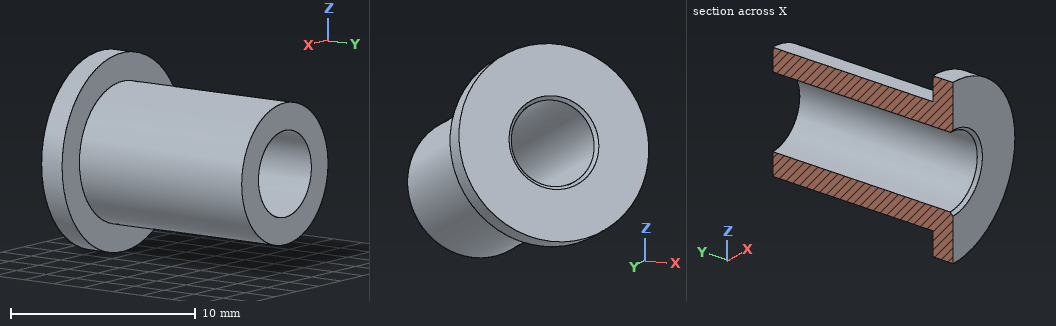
import cadquery as cq

total_length = 12.4
flange_diameter = 11.0
flange_thickness = 1.4
sleeve_diameter = 7.85
bore_diameter = 4.8
bore_chamfer = 0.2


def cylinder_along_y(diameter, length):
    """Cylinder starting at the flange face (Y = 0) and running toward +Y."""
    return cq.Workplane("XZ").circle(diameter / 2).extrude(-length)


flange = cylinder_along_y(flange_diameter, flange_thickness)
sleeve = cylinder_along_y(sleeve_diameter, total_length)
body = flange.union(sleeve)

bored_body = body.cut(cylinder_along_y(bore_diameter, total_length))

bore_rim = cq.selectors.RadiusNthSelector(0)
result = bored_body.faces("<Y").edges(bore_rim).chamfer(bore_chamfer)